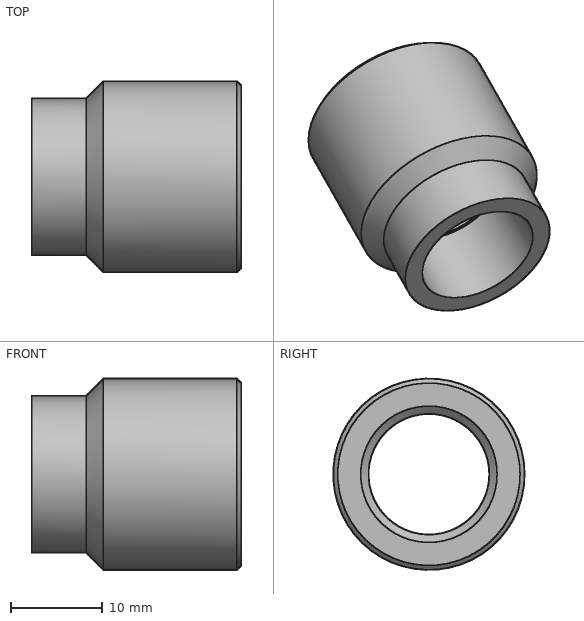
import cadquery as cq

total_length = 23.0
neck_length = 6.0
body_radius = 21.0 / 2
neck_radius = 17.25 / 2
chamfer_size = 0.5

bore_radius = 13.2 / 2
socket_radius = 14.95 / 2
socket_depth = 13.0

shoulder_length = body_radius - neck_radius
transition_length = socket_radius - bore_radius

body_start = neck_length + shoulder_length
socket_start = total_length - socket_depth
bore_end = socket_start - transition_length

half_section = [
    (0, bore_radius),
    (0, neck_radius),
    (neck_length, neck_radius),
    (body_start, body_radius),
    (total_length - chamfer_size, body_radius),
    (total_length, body_radius - chamfer_size),
    (total_length, socket_radius),
    (socket_start, socket_radius),
    (bore_end, bore_radius),
]

result = (
    cq.Workplane("XY")
    .polyline(half_section)
    .close()
    .revolve(360, (0, 0, 0), (1, 0, 0))
)